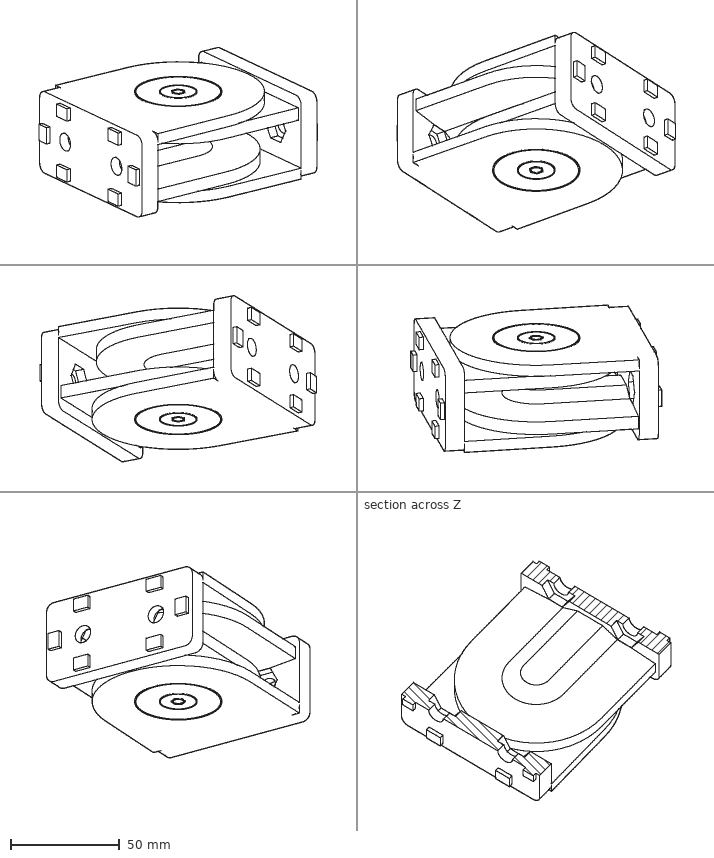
import cadquery as cq
import math

WIDTH = 80.0
LENGTH = 103.6
HEIGHT = 40.0
HALF_WIDTH = WIDTH / 2
HALF_HEIGHT = HEIGHT / 2

PAD_HEIGHT = 2.0
PAD_LONG = 8.0
PAD_SHORT = 6.0
PLATE_THICKNESS = 9.0
PLATE_CORNER_RADIUS = 4.1
PLATE_OUTER_Y = -(LENGTH / 2 - PAD_HEIGHT)
PLATE_INNER_Y = PLATE_OUTER_Y + PLATE_THICKNESS
BOLT_HOLE_DIAMETER = 8.4
NUT_POCKET_ACROSS_CORNERS = 15.6
NUT_POCKET_DEPTH = 4.2
BOLT_X = WIDTH / 4
EDGE_PAD_Z = 14.9
SIDE_PAD_X = 34.8

OUTER_LUG_RADIUS = 39.7
OUTER_LUG_THICKNESS = 5.4
BEARING_HOLE_DIAMETER = 40.2

LUG_GAP = 0.3
INNER_LUG_RADIUS = 37.7
INNER_LUG_FACE_Z = HALF_HEIGHT - OUTER_LUG_THICKNESS - LUG_GAP
RIM_Z = 8.2
SHELF_RADIUS = 24.1
SHELF_Z = 6.9
RIDGE_BASE_RADIUS = 15.7
RIDGE_TOP_RADIUS = 7.3
RIDGE_TOP_Z = 3.1

BOSS_DIAMETER = 40.0
BOSS_CHAMFER = 0.5
GROOVE_DIAMETER = 17.3
GROOVE_DEPTH = 0.4
HEX_ACROSS_FLATS = 5.8
HEX_DEPTH = 0.4
SOCKET_PIN_DIAMETER = 5.0


def make_end_plate():
    """Rounded plate, pads on its outer face, two bolt holes with hex nut pockets on the inside."""
    plate = (
        cq.Workplane("XY")
        .box(WIDTH, PLATE_THICKNESS, HEIGHT)
        .edges("|Y")
        .fillet(PLATE_CORNER_RADIUS)
        .translate((0, PLATE_OUTER_Y + PLATE_THICKNESS / 2, 0))
    )
    outer_face = cq.Workplane("XZ", origin=(0, PLATE_OUTER_Y, 0))
    edge_pads = (
        outer_face.rect(2 * BOLT_X, 2 * EDGE_PAD_Z, forConstruction=True)
        .vertices()
        .rect(PAD_LONG, PAD_SHORT)
        .extrude(PAD_HEIGHT)
    )
    side_pads = (
        outer_face.pushPoints([(-SIDE_PAD_X, 0), (SIDE_PAD_X, 0)])
        .rect(PAD_SHORT, PAD_LONG)
        .extrude(PAD_HEIGHT)
    )
    bolt_points = [(-BOLT_X, 0), (BOLT_X, 0)]
    bolt_holes = (
        outer_face.pushPoints(bolt_points)
        .circle(BOLT_HOLE_DIAMETER / 2)
        .extrude(-PLATE_THICKNESS)
    )
    nut_pockets = (
        cq.Workplane("XZ", origin=(0, PLATE_INNER_Y, 0))
        .pushPoints(bolt_points)
        .polygon(6, NUT_POCKET_ACROSS_CORNERS)
        .extrude(NUT_POCKET_DEPTH)
    )
    return plate.union(edge_pads).union(side_pads).cut(bolt_holes).cut(nut_pockets)


def make_outer_lug():
    """Top lug: round end on the pivot axis, sides flaring tangentially to the plate's full width."""
    plate_corner_distance = math.hypot(HALF_WIDTH, PLATE_INNER_Y)
    corner_angle = math.atan2(PLATE_INNER_Y, HALF_WIDTH)
    tangent_angle = corner_angle + math.acos(OUTER_LUG_RADIUS / plate_corner_distance)
    tangent_x = OUTER_LUG_RADIUS * math.cos(tangent_angle)
    tangent_y = OUTER_LUG_RADIUS * math.sin(tangent_angle)
    return (
        cq.Workplane("XY", origin=(0, 0, HALF_HEIGHT - OUTER_LUG_THICKNESS))
        .moveTo(HALF_WIDTH, PLATE_INNER_Y)
        .lineTo(tangent_x, tangent_y)
        .threePointArc((0, OUTER_LUG_RADIUS), (-tangent_x, tangent_y))
        .lineTo(-HALF_WIDTH, PLATE_INNER_Y)
        .close()
        .moveTo(0, 0)
        .circle(BEARING_HOLE_DIAMETER / 2)
        .extrude(OUTER_LUG_THICKNESS)
    )


def inner_lug_half_section():
    """Section of the inner lug from the pivot axis out to its +X side."""
    return (
        cq.Workplane("XZ")
        .moveTo(0, -INNER_LUG_FACE_Z)
        .lineTo(INNER_LUG_RADIUS, -INNER_LUG_FACE_Z)
        .lineTo(INNER_LUG_RADIUS, -RIM_Z)
        .lineTo(SHELF_RADIUS, -SHELF_Z)
        .lineTo(RIDGE_BASE_RADIUS, -SHELF_Z)
        .lineTo(RIDGE_TOP_RADIUS, -RIDGE_TOP_Z)
        .lineTo(0, -RIDGE_TOP_Z)
        .close()
    )


def make_inner_lug():
    """Bottom lug: one half-section revolved about the pivot axis and run straight to the plate."""
    round_end = inner_lug_half_section().revolve(360, (0, 0, 0), (0, 1, 0))
    straight_half = inner_lug_half_section().extrude(-PLATE_INNER_Y)
    return round_end.union(straight_half).union(straight_half.mirror("YZ"))


def make_pivot_boss():
    """Boss below the inner lug, its end face cut by a V-shaped groove and a hex socket around a pin."""
    end_face = cq.Workplane("XY", origin=(0, 0, -HALF_HEIGHT))
    boss = (
        end_face.circle(BOSS_DIAMETER / 2)
        .extrude(HALF_HEIGHT - INNER_LUG_FACE_Z)
        .faces("<Z")
        .chamfer(BOSS_CHAMFER)
    )
    groove_radius = GROOVE_DIAMETER / 2
    ring_groove = (
        cq.Workplane("XZ")
        .moveTo(groove_radius, -HALF_HEIGHT)
        .lineTo(groove_radius, GROOVE_DEPTH - HALF_HEIGHT)
        .lineTo(groove_radius - GROOVE_DEPTH, -HALF_HEIGHT)
        .close()
        .revolve(360, (0, 0, 0), (0, 1, 0))
    )
    hex_diameter = HEX_ACROSS_FLATS / math.cos(math.pi / 6)
    hex_socket = (
        end_face.transformed(rotate=(0, 0, 90))
        .polygon(6, hex_diameter)
        .circle(SOCKET_PIN_DIAMETER / 2)
        .extrude(HEX_DEPTH)
    )
    return boss.cut(ring_groove).cut(hex_socket)


def make_hinge_half():
    """One hinge half with its end plate on the -Y side."""
    return make_end_plate().union(make_outer_lug()).union(make_inner_lug()).union(make_pivot_boss())


hinge_halves = []
for turn in (0, 180):
    hinge_halves.append(make_hinge_half().rotate((0, 0, 0), (1, 0, 0), turn).val())

result = cq.Compound.makeCompound(hinge_halves)